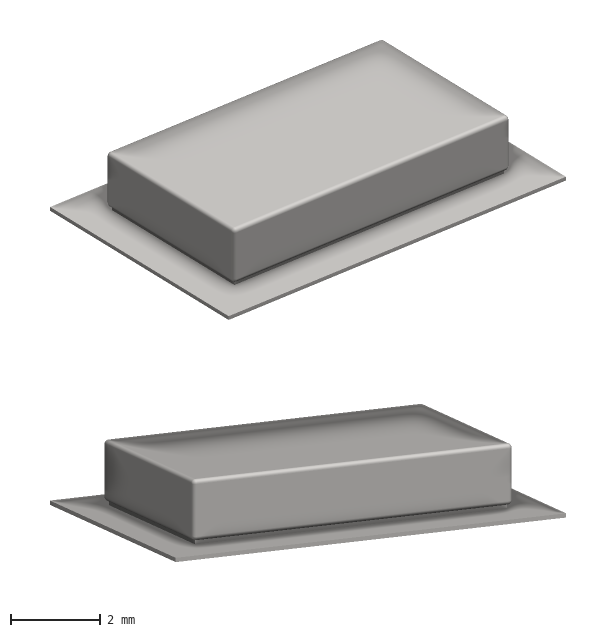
import cadquery as cq

plate_width = 6.29
plate_length = 9.77
plate_thickness = 0.1

block_width = 4.5
block_length = 8.0
edge_radius = 0.1

pad_thickness = 0.1
pad_width = block_width - 2 * edge_radius
pad_length = block_length - 2 * edge_radius

total_height = 1.6
pad_bottom = plate_thickness
block_bottom = pad_bottom + pad_thickness
block_height = total_height - block_bottom


def centred_slab(width, length, thickness, bottom):
    """Rectangular slab centred on the Z axis, standing on the height `bottom`."""
    return (
        cq.Workplane("XY")
        .workplane(offset=bottom)
        .box(width, length, thickness, centered=(True, True, False))
    )


def make_plate():
    return centred_slab(plate_width, plate_length, plate_thickness, 0)


def make_pad():
    """Pad covering just the flat part of the block's underside."""
    return centred_slab(pad_width, pad_length, pad_thickness, pad_bottom)


def make_block():
    block = centred_slab(block_width, block_length, block_height, block_bottom)
    return block.edges().fillet(edge_radius)


plate = make_plate()
pad = make_pad()
block = make_block()

result = cq.Compound.makeCompound([plate.val(), pad.val(), block.val()])